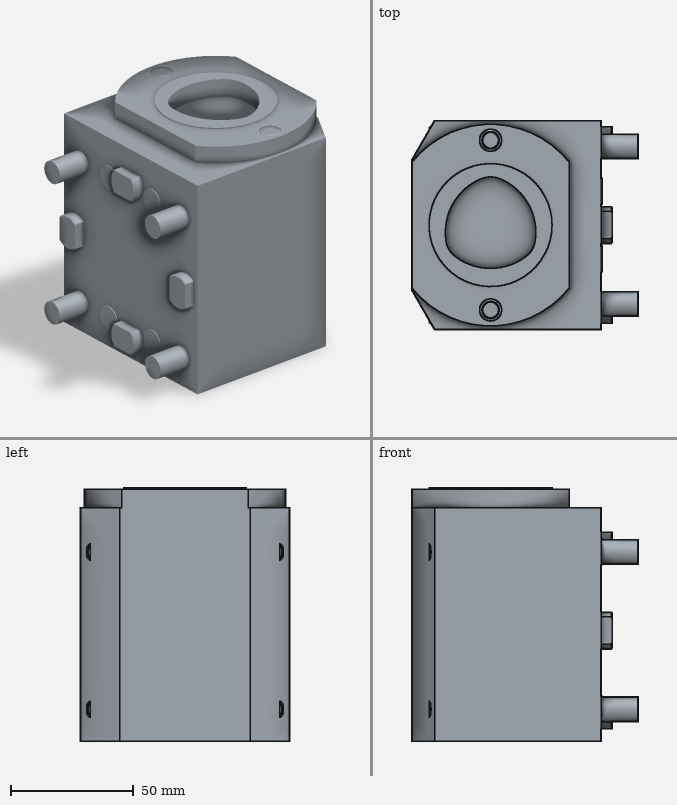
import cadquery as cq
import math

BODY_FRONT_X = -32.0
BODY_LENGTH = 77.0
BODY_WIDTH = 85.0
BODY_HEIGHT = 95.0
BODY_BACK_X = BODY_FRONT_X + BODY_LENGTH
CORNER_CUT_Y = 16.0
CORNER_CUT_X = CORNER_CUT_Y * math.tan(math.radians(30))

PLATE_RADIUS = 41.0
PLATE_HALF_LENGTH = -BODY_FRONT_X
PLATE_THICKNESS = 7.5
RING_DIAMETER = 50.0
RING_HEIGHT = 0.5
PLATE_TOP_Z = BODY_HEIGHT + PLATE_THICKNESS
RING_TOP_Z = PLATE_TOP_Z + RING_HEIGHT
SOCKET_LOBE_REACH = 19.6
SOCKET_FLANK_REACH = 17.6
SOCKET_LOBE_RADIUS = 10.0
SOCKET_DEPTH = 8.0

PLATE_SCREW_Y = 34.5
PLATE_SCREW_DIAMETER = 9.0
PLATE_SCREW_RIM_DIAMETER = 7.0
PLATE_SCREW_SLOPE_DEPTH = 0.35
PLATE_SCREW_RECESS_DIAMETER = 6.5
PLATE_SCREW_RECESS_DEPTH = 0.2

PATTERN_Z = 45.0
BOLT_SPACING = 64.0
BOLT_DIAMETER = 10.0
BOLT_STICKOUT = 15.0
BOLT_HEAD_DIAMETER = 16.0
BOLT_HEAD_LENGTH = 10.0
BOLT_HEAD_X = BODY_FRONT_X + 7.0
BOLT_HEAD_CHAMFER = 0.6
KEY_CIRCLE_RADIUS = 40.0
KEY_DIAMETER = 15.0
KEY_ACROSS_FLATS = 10.0
KEY_HEIGHT = 4.5
KEY_CHAMFER = 0.5
SEAL_DIAMETER = 10.6
SEAL_HEIGHT = 0.4
SEAL_SPACING = 27.4


def body():
    """Block with both vertical front edges cut off at a slant."""
    half_width = BODY_WIDTH / 2
    flat_half_width = half_width - CORNER_CUT_Y
    cut_end_x = BODY_FRONT_X + CORNER_CUT_X
    outline = [
        (BODY_FRONT_X, -flat_half_width),
        (cut_end_x, -half_width),
        (BODY_BACK_X, -half_width),
        (BODY_BACK_X, half_width),
        (cut_end_x, half_width),
        (BODY_FRONT_X, flat_half_width),
    ]
    return cq.Workplane("XY").polyline(outline).close().extrude(BODY_HEIGHT)


def plate():
    """Round plate with two flats, carrying the thin contact ring."""
    base = cq.Workplane("XY", origin=(0, 0, BODY_HEIGHT))
    disc = base.circle(PLATE_RADIUS).extrude(PLATE_THICKNESS)
    flats = base.rect(2 * PLATE_HALF_LENGTH, 2 * PLATE_RADIUS).extrude(PLATE_THICKNESS)
    ring = cq.Workplane("XY", origin=(0, 0, PLATE_TOP_Z)).circle(RING_DIAMETER / 2).extrude(RING_HEIGHT)
    return disc.intersect(flats).union(ring)


def polar(radius, angle):
    """Point at the radius, turned by the angle from +Y."""
    return (-radius * math.sin(angle), radius * math.cos(angle))


def socket():
    """Blind socket of three lobe arcs joined by three flatter tangent arcs, one lobe toward +Y.

    Lobe centres lie SOCKET_LOBE_REACH - SOCKET_LOBE_RADIUS from the axis. Each flank arc is centred
    on the far side of the axis, at the offset that makes it touch the lobe arcs tangentially.
    """
    lobe_offset = SOCKET_LOBE_REACH - SOCKET_LOBE_RADIUS
    radius_gap = SOCKET_FLANK_REACH - SOCKET_LOBE_RADIUS
    flank_offset = (lobe_offset**2 - radius_gap**2) / (2 * radius_gap - lobe_offset)
    half_pitch = math.pi / 3
    half_lobe_angle = math.atan2(
        flank_offset * math.sin(half_pitch),
        flank_offset * math.cos(half_pitch) + lobe_offset,
    )
    seam_x = SOCKET_LOBE_RADIUS * math.sin(half_lobe_angle)
    seam_y = lobe_offset + SOCKET_LOBE_RADIUS * math.cos(half_lobe_angle)
    seam_radius = math.hypot(seam_x, seam_y)
    seam_angle = math.atan2(seam_x, seam_y)

    outline = cq.Workplane("XY", origin=(0, 0, RING_TOP_Z)).moveTo(*polar(seam_radius, -seam_angle))
    for lobe in range(3):
        lobe_angle = 2 * half_pitch * lobe
        flank_angle = lobe_angle + half_pitch
        next_lobe_angle = flank_angle + half_pitch
        outline = outline.threePointArc(
            polar(SOCKET_LOBE_REACH, lobe_angle), polar(seam_radius, lobe_angle + seam_angle)
        )
        outline = outline.threePointArc(
            polar(SOCKET_FLANK_REACH, flank_angle), polar(seam_radius, next_lobe_angle - seam_angle)
        )
    return outline.close().extrude(-SOCKET_DEPTH)


def plate_screw_relief(y):
    """Relief around a screw flush with the plate: head sloping down outward, with a shallow recess on top."""
    slope = (
        cq.Workplane("XZ", origin=(0, y, PLATE_TOP_Z))
        .moveTo(PLATE_SCREW_RIM_DIAMETER / 2, 0)
        .lineTo(PLATE_SCREW_DIAMETER / 2, -PLATE_SCREW_SLOPE_DEPTH)
        .lineTo(PLATE_SCREW_DIAMETER / 2, 0)
        .close()
        .revolve(360, (0, 0, 0), (0, 1, 0))
    )
    top = cq.Workplane("XY", origin=(0, y, PLATE_TOP_Z))
    recess = top.circle(PLATE_SCREW_RECESS_DIAMETER / 2).extrude(-PLATE_SCREW_RECESS_DEPTH)
    return slope.union(recess)


def bolt(y, z):
    """Bolt through the body: chamfered head at the slanted corner, shank out of the back face."""
    plane = cq.Workplane("YZ", origin=(BOLT_HEAD_X, y, z))
    head = plane.circle(BOLT_HEAD_DIAMETER / 2).extrude(BOLT_HEAD_LENGTH)
    head = head.faces("<X").chamfer(BOLT_HEAD_CHAMFER)
    shank = plane.circle(BOLT_DIAMETER / 2).extrude(BODY_BACK_X + BOLT_STICKOUT - BOLT_HEAD_X)
    return head.union(shank)


def key(turn):
    """Round driving key with two flats on the back face, turned about the pattern centre."""
    centre_y = KEY_CIRCLE_RADIUS - KEY_ACROSS_FLATS / 2
    plane = cq.Workplane("YZ", origin=(BODY_BACK_X, centre_y, PATTERN_Z))
    disc = plane.circle(KEY_DIAMETER / 2).extrude(KEY_HEIGHT).faces(">X").chamfer(KEY_CHAMFER)
    flats = plane.rect(KEY_ACROSS_FLATS, KEY_DIAMETER).extrude(KEY_HEIGHT)
    return disc.intersect(flats).rotate((0, 0, PATTERN_Z), (1, 0, PATTERN_Z), turn)


def seal(y, z):
    """Thin round seal standing proud of the back face."""
    return cq.Workplane("YZ", origin=(BODY_BACK_X, y, z)).circle(SEAL_DIAMETER / 2).extrude(SEAL_HEIGHT)


result = body().union(plate()).cut(socket())
for side in (-1, 1):
    result = result.cut(plate_screw_relief(side * PLATE_SCREW_Y))
    for level in (-1, 1):
        row_z = PATTERN_Z + level * BOLT_SPACING / 2
        result = result.union(bolt(side * BOLT_SPACING / 2, row_z))
        result = result.union(seal(side * SEAL_SPACING / 2, row_z))
for turn in (0, 90, 180, 270):
    result = result.union(key(turn))